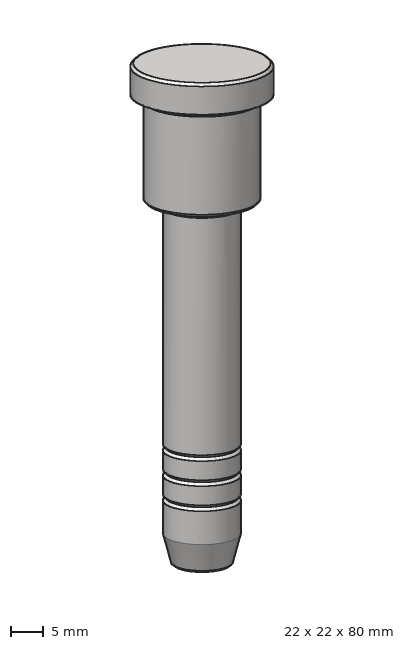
import cadquery as cq
import math

total_length = 80.0
head_diameter = 22.0
head_height = 5.0
body_diameter = 18.0
body_bottom = 58.0
shank_diameter = 12.0
edge_chamfer = 0.5

undercut_height = 1.0
undercut_diameter = 17.1
undercut_slope = 0.4

neck_diameter = 11.0
neck_height = 1.0

groove_count = 3
groove_pitch = 4.0
lowest_groove_center = 10.7
groove_depth = 0.5
groove_half_height = 0.5

tip_height = 5.0
tip_angle = 15.0
tip_chamfer = 0.4


def cylinder(diameter, bottom, top):
    """Upright cylinder on the pin axis between two heights."""
    return cq.Workplane("XY").workplane(offset=bottom).circle(diameter / 2).extrude(top - bottom)


def revolve_profile(points):
    """Turn an (r, z) outline around the pin axis."""
    return cq.Workplane("XZ").polyline(points).close().revolve(360, (0, 0, 0), (0, 1, 0))


def make_head():
    return cylinder(head_diameter, total_length - head_height, total_length).faces(">Z").chamfer(edge_chamfer)


def make_body():
    top = total_length - head_height - undercut_height
    return cylinder(body_diameter, body_bottom, top).faces("<Z").chamfer(edge_chamfer)


def make_undercut():
    """Reduced section that flares back out where it meets the head."""
    top = total_length - head_height
    bottom = top - undercut_height
    radius = undercut_diameter / 2
    return revolve_profile([
        (0, bottom),
        (radius, bottom),
        (radius, top - undercut_slope),
        (radius + undercut_slope, top),
        (0, top),
    ])


def make_tip():
    """Tapered lead-in with a small chamfer on its end."""
    shank_radius = shank_diameter / 2
    end_radius = shank_radius - tip_height * math.tan(math.radians(tip_angle))
    tip = revolve_profile([(0, 0), (end_radius, 0), (shank_radius, tip_height), (0, tip_height)])
    return tip.faces("<Z").chamfer(tip_chamfer)


def make_groove(center):
    """Triangular ring that cuts one V groove."""
    outer = shank_diameter / 2
    return revolve_profile([
        (outer - groove_depth, center),
        (outer, center + groove_half_height),
        (outer, center - groove_half_height),
    ])


shank_top = body_bottom - neck_height
result = cylinder(shank_diameter, tip_height, shank_top)
result = result.union(make_tip())
result = result.union(cylinder(neck_diameter, shank_top, body_bottom))
result = result.union(make_body()).union(make_undercut()).union(make_head())

for index in range(groove_count):
    result = result.cut(make_groove(lowest_groove_center + index * groove_pitch))